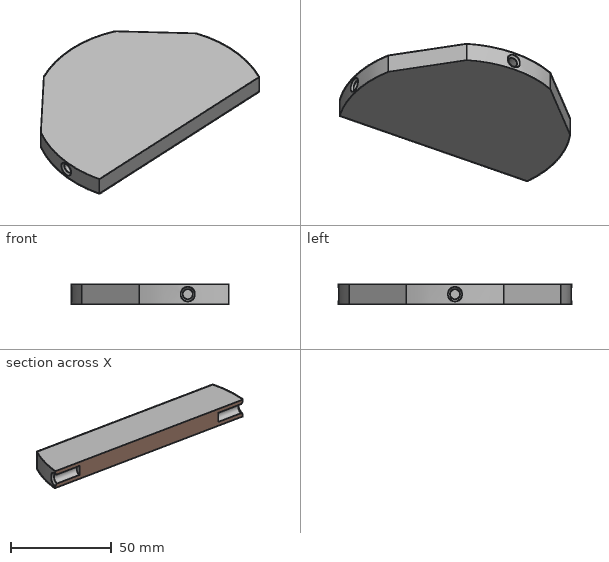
import cadquery as cq

disc_radius = 57.8
thickness = 10.0
straight_edge_x = 20.3
corner_flat_distance = 54.2
hole_diameter = 5.0
countersink_diameter = 7.3
hole_depth = 15.0

countersink_depth = (countersink_diameter - hole_diameter) / 2
mid_height = thickness / 2
cutter_size = 3 * disc_radius


def cut_flat(body, angle, distance):
    """Remove all material beyond a vertical flat facing the given angle."""
    cutter = (
        cq.Workplane("XY")
        .box(cutter_size, cutter_size, cutter_size)
        .translate((distance + cutter_size / 2, 0, 0))
        .rotate((0, 0, 0), (0, 0, 1), angle)
    )
    return body.cut(cutter)


def rim_hole(angle):
    """Blind countersunk hole, entering the rim radially at the given angle."""
    hole_radius = hole_diameter / 2
    countersink_radius = countersink_diameter / 2
    bottom = disc_radius - hole_depth
    cone_start = disc_radius - countersink_depth
    profile = [
        (bottom, 0),
        (bottom, hole_radius),
        (cone_start, hole_radius),
        (disc_radius, countersink_radius),
        (disc_radius, 0),
    ]
    return (
        cq.Workplane("XY")
        .polyline(profile)
        .close()
        .revolve(360, (0, 0, 0), (1, 0, 0))
        .translate((0, 0, mid_height))
        .rotate((0, 0, 0), (0, 0, 1), angle)
    )


plate = cq.Workplane("XY").circle(disc_radius).extrude(thickness)
plate = cut_flat(plate, 0, straight_edge_x)
for flat_angle in (135, 225):
    plate = cut_flat(plate, flat_angle, corner_flat_distance)

for hole_angle in (90, 180, 270):
    plate = plate.cut(rim_hole(hole_angle))

result = plate